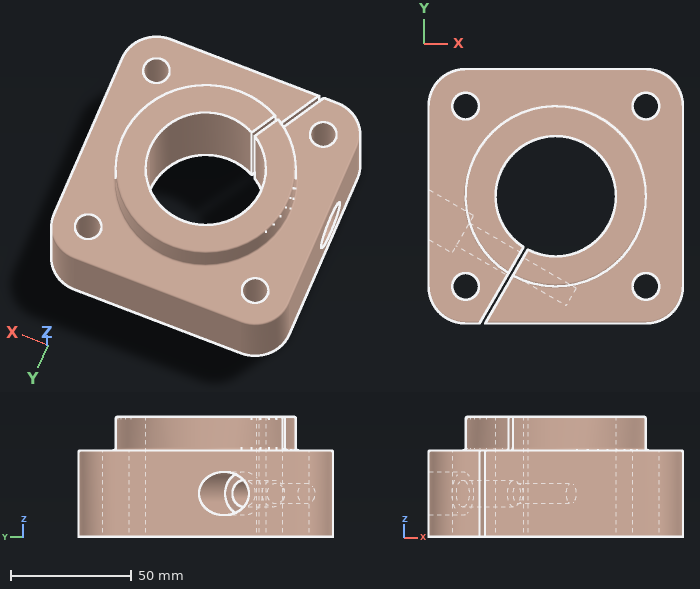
import cadquery as cq
import math

side = 106.0
total_height = 50.0
base_height = 36.0
mount_spacing = 75.0
mount_diameter = 11.0
corner_radius = (side - mount_spacing) / 2

boss_diameter = mount_spacing
bore_diameter = 50.0
edge_break = 1.0

slit_width = 2.0
slit_angle = 240.0

screw_offset = 33.1
screw_clearance_diameter = mount_diameter
screw_head_diameter = 18.0
screw_head_depth = 16.5
screw_tap_diameter = 8.4
screw_tap_depth = 26.5


def make_body():
    base = (
        cq.Workplane("XY")
        .rect(side, side)
        .extrude(base_height)
        .edges("|Z")
        .fillet(corner_radius)
        .faces(">Z")
        .edges()
        .fillet(edge_break)
    )
    radius = boss_diameter / 2
    boss = (
        cq.Workplane("XZ")
        .lineTo(radius + edge_break, 0)
        .lineTo(radius + edge_break, base_height)
        .radiusArc((radius, base_height + edge_break), edge_break)
        .lineTo(radius, total_height - edge_break)
        .radiusArc((radius - edge_break, total_height), -edge_break)
        .lineTo(0, total_height)
        .close()
        .revolve()
    )
    return base.union(boss)


def make_through_holes():
    bore = cq.Workplane("XY").circle(bore_diameter / 2).extrude(total_height)
    mounts = (
        cq.Workplane("XY")
        .rect(mount_spacing, mount_spacing, forConstruction=True)
        .vertices()
        .circle(mount_diameter / 2)
        .extrude(total_height)
    )
    return bore.union(mounts)


def make_slit():
    return (
        cq.Workplane("XY")
        .rect(side, slit_width)
        .extrude(total_height)
        .translate((side / 2, 0, 0))
        .rotate((0, 0, 0), (0, 0, 1), slit_angle)
    )


def make_screw_hole():
    angle = math.radians(slit_angle)
    slit_direction = cq.Vector(math.cos(angle), math.sin(angle), 0)
    axis = cq.Vector(-slit_direction.y, slit_direction.x, 0)
    slit_crossing = slit_direction * screw_offset + cq.Vector(0, 0, base_height / 2)
    entry_distance = (slit_crossing.x + side / 2) / axis.x

    def bore_along_axis(diameter, start, end):
        return cq.Solid.makeCylinder(diameter / 2, end - start, slit_crossing + axis * start, axis)

    head = bore_along_axis(screw_head_diameter, -side, screw_head_depth - entry_distance)
    clearance = bore_along_axis(screw_clearance_diameter, -entry_distance, 0)
    tapped = bore_along_axis(screw_tap_diameter, 0, screw_tap_depth)
    return cq.Workplane(head).union(cq.Workplane(clearance)).union(cq.Workplane(tapped))


result = make_body().cut(make_through_holes()).cut(make_slit()).cut(make_screw_hole())